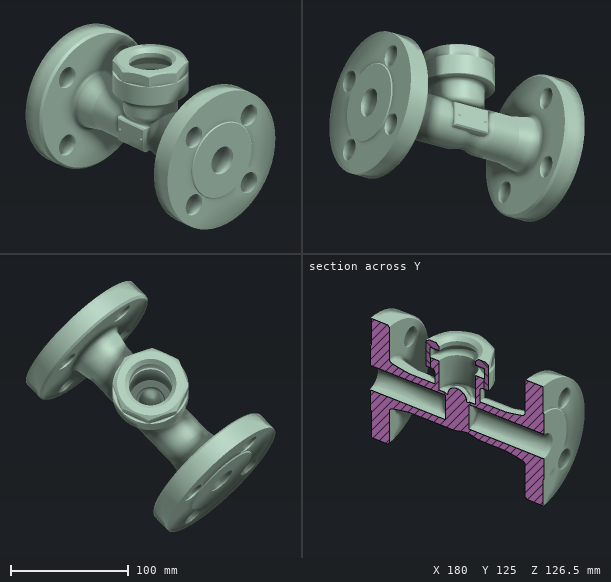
import cadquery as cq
import math


length = 180.0
pipe_radius = 41.0 / 2
bore_radius = 25.0 / 2
bore_depth = 77.4
flange_radius = 125.0 / 2
flange_thickness = 19.0
flange_chamfer = 2.0
raised_face_radius = 69.1 / 2
raised_face_height = 1.0
raised_face_chamfer = 0.7
hub_radius = 47.5 / 2
hub_taper_length = 17.0
hub_fillet_length = 3.0
hub_fillet_radius = 54.7 / 2
bolt_hole_diameter = 19.0
bolt_circle_diameter = 90.0
bolt_count = 4

waist_x = 9.7
waist_half_length = 15.0
waist_depth = 2.7

nut_radius = 65.0 / 2
nut_top = 64.0
nut_bottom = 35.0
nut_bottom_chamfer = 0.5
nut_side_count = 8
nut_side_bottom = 52.7
nut_top_face_radius = 57.0 / 2
nut_bevel_angle = 30.0
nut_opening_radius = 37.0 / 2
nut_opening_chamfer = 3.5
nut_lip_thickness = 7.7
nut_bore_radius = 56.0 / 2

neck_radius = 47.0 / 2
neck_bottom = 11.3
neck_bottom_fillet = 7.5
neck_top_fillet = 3.0
spigot_radius = nut_bore_radius
spigot_top = 46.0
chamber_radius = nut_opening_radius
chamber_floor = 15.8
seat_outer_radius = 25.0 / 2
seat_inner_radius = 23.0 / 2
seat_depth = seat_outer_radius - seat_inner_radius
dome_radius = 20.0 / 2

plate_length = 34.2
plate_bottom = -11.2
plate_top = 10.6
plate_front = 23.2
plate_chamfer = 1.3
rivet_spacing = 26.5
rivet_radius = 1.5
rivet_height = 0.9


def make_pipe():
    """Pipe with its waist, as a solid bar around the X axis."""
    half = length / 2
    valley = pipe_radius - waist_depth
    middle = pipe_radius - waist_depth / 2
    quarter = waist_half_length / 2
    profile = (
        cq.Workplane("XY")
        .moveTo(-half, 0)
        .lineTo(-half, pipe_radius)
        .lineTo(waist_x - waist_half_length, pipe_radius)
        .tangentArcPoint((waist_x - quarter, middle), relative=False)
        .tangentArcPoint((waist_x, valley), relative=False)
        .tangentArcPoint((waist_x + quarter, middle), relative=False)
        .tangentArcPoint((waist_x + waist_half_length, pipe_radius), relative=False)
        .lineTo(half, pipe_radius)
        .lineTo(half, 0)
        .close()
    )
    return profile.revolve(360, (0, 0, 0), (1, 0, 0))


def make_flange():
    """Flange at the -X end, with its raised face, tapered hub and bolt holes."""
    face_x = -length / 2
    front_x = face_x + raised_face_height
    back_x = front_x + flange_thickness
    hub_x = back_x + hub_fillet_length
    profile = (
        cq.Workplane("XY")
        .moveTo(face_x, 0)
        .lineTo(face_x, raised_face_radius - raised_face_chamfer)
        .lineTo(face_x + raised_face_chamfer, raised_face_radius)
        .lineTo(front_x, raised_face_radius)
        .lineTo(front_x, flange_radius)
        .lineTo(back_x - flange_chamfer, flange_radius)
        .lineTo(back_x, flange_radius - flange_chamfer)
        .lineTo(back_x, hub_fillet_radius)
        .tangentArcPoint((hub_x, hub_radius), relative=False)
        .lineTo(hub_x + hub_taper_length, pipe_radius)
        .lineTo(hub_x + hub_taper_length, 0)
        .close()
    )
    flange = profile.revolve(360, (0, 0, 0), (1, 0, 0))
    bolt_holes = (
        cq.Workplane("YZ", origin=(face_x, 0, 0))
        .polarArray(bolt_circle_diameter / 2, 180 / bolt_count, 360, bolt_count)
        .circle(bolt_hole_diameter / 2)
        .extrude(raised_face_height + flange_thickness)
    )
    return flange.cut(bolt_holes)


def make_neck():
    """Upright neck with a rounded bottom, filleted under the spigot that carries the nut."""
    profile = (
        cq.Workplane("XZ")
        .moveTo(0, neck_bottom)
        .lineTo(neck_radius - neck_bottom_fillet, neck_bottom)
        .tangentArcPoint((neck_radius, neck_bottom + neck_bottom_fillet), relative=False)
        .lineTo(neck_radius, nut_bottom - neck_top_fillet)
        .tangentArcPoint((neck_radius + neck_top_fillet, nut_bottom), relative=False)
        .lineTo(spigot_radius, nut_bottom)
        .lineTo(spigot_radius, spigot_top)
        .lineTo(0, spigot_top)
        .close()
    )
    return profile.revolve(360, (0, 0, 0), (0, 1, 0))


def make_chamber():
    """Space inside the neck, with a domed seat standing in a bevelled recess of its floor."""
    seat_floor = chamber_floor - seat_depth
    profile = (
        cq.Workplane("XZ")
        .moveTo(0, spigot_top)
        .lineTo(chamber_radius, spigot_top)
        .lineTo(chamber_radius, chamber_floor)
        .lineTo(seat_outer_radius, chamber_floor)
        .lineTo(seat_inner_radius, seat_floor)
        .lineTo(dome_radius, seat_floor)
        .radiusArc((0, seat_floor + dome_radius), -dome_radius)
        .close()
    )
    return profile.revolve(360, (0, 0, 0), (0, 1, 0))


def make_plate():
    """Name plate pad on the -Y side, bevelled around its front, with two domed rivet heads."""
    plate_middle = (plate_bottom + plate_top) / 2
    plate = (
        cq.Workplane("XZ", origin=(0, 0, plate_middle))
        .rect(plate_length, plate_top - plate_bottom)
        .extrude(plate_front)
        .faces("<Y")
        .chamfer(plate_chamfer)
    )
    sphere_radius = (rivet_radius**2 + rivet_height**2) / (2 * rivet_height)
    sphere_y = sphere_radius - rivet_height - plate_front
    for side in (-1, 1):
        rivet_x = side * rivet_spacing / 2
        rivet = cq.Workplane("XY", origin=(rivet_x, sphere_y, plate_middle)).sphere(sphere_radius)
        plate = plate.union(rivet)
    return plate


def make_body():
    """Pipe, flanges, neck and plate in one casting, with a blind bore in each end."""
    flange = make_flange()
    bore = cq.Workplane("YZ", origin=(-length / 2, 0, 0)).circle(bore_radius).extrude(bore_depth)
    return (
        make_pipe()
        .union(flange)
        .union(flange.mirror("YZ"))
        .union(make_plate())
        .union(make_neck())
        .cut(bore)
        .cut(bore.mirror("YZ"))
        .cut(make_chamber())
    )


def make_nut():
    """Round collar below an octagonal head, open at the top and bored to take the spigot."""
    collar = (
        cq.Workplane("XY", origin=(0, 0, nut_bottom))
        .circle(nut_radius)
        .extrude(nut_side_bottom - nut_bottom)
        .faces("<Z")
        .chamfer(nut_bottom_chamfer)
    )
    head = (
        cq.Workplane("XY", origin=(0, 0, nut_side_bottom))
        .polygon(nut_side_count, 2 * nut_radius)
        .extrude(nut_top - nut_side_bottom)
    )
    bevel_width = nut_radius - nut_top_face_radius
    bevel_height = bevel_width * math.tan(math.radians(nut_bevel_angle))
    bevelled_cylinder = (
        cq.Workplane("XY", origin=(0, 0, nut_side_bottom))
        .circle(nut_radius)
        .extrude(nut_top - nut_side_bottom)
        .faces(">Z")
        .chamfer(bevel_height, bevel_width)
    )
    lip_bottom = nut_top - nut_lip_thickness
    opening_profile = (
        cq.Workplane("XZ")
        .moveTo(0, nut_bottom)
        .lineTo(nut_bore_radius, nut_bottom)
        .lineTo(nut_bore_radius, lip_bottom)
        .lineTo(nut_opening_radius, lip_bottom)
        .lineTo(nut_opening_radius, nut_top - nut_opening_chamfer)
        .lineTo(nut_opening_radius + nut_opening_chamfer, nut_top)
        .lineTo(0, nut_top)
        .close()
    )
    opening = opening_profile.revolve(360, (0, 0, 0), (0, 1, 0))
    return collar.union(head.intersect(bevelled_cylinder)).cut(opening)


body = make_body().solids()
nut = make_nut().solids()
result = cq.Compound.makeCompound([body.val(), nut.val()])